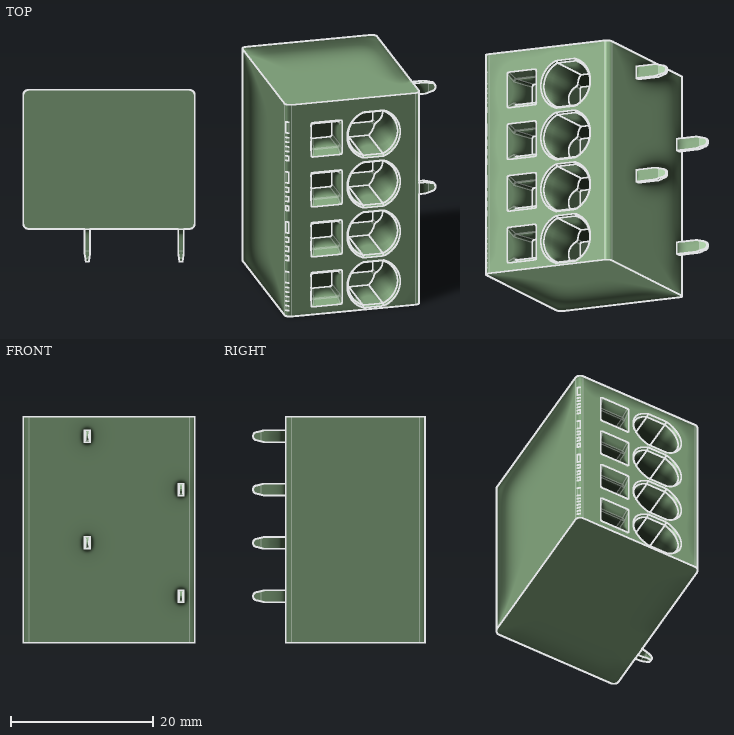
import cadquery as cq
import math


body_length = 24.15
body_depth = 19.6
body_height = 31.8
corner_radius = 0.8

pole_count = 4
pole_pitch = 7.5
first_pole_z = pole_pitch / 2
pole_heights = [first_pole_z + pole_pitch * i for i in range(pole_count)]

funnel_y = 6.83
mouth_half_width = 3.87
mouth_height = 6.88
bore_half_width = 3.6
bore_height = 6.4
flat_length = 2.9
lead_in_depth = 0.42
bore_depth = 8.0
pyramid_depth = 2.1
pyramid_mouth_width = 7.7
floor_width = 5.25
floor_height = 4.0
floor_corner_radius = 0.3

slot_y_min = 11.43
slot_mouth_width = 4.5
slot_mouth_height = 5.16
slot_inner_height = 3.74
slot_mouth_corner_radius = 0.25
slot_inner_corner_radius = 0.35
slot_mouth_depth = 1.4
slot_depth = 5.4
slot_floor_width = 3.2
slot_step_radius = 0.6
selection_margin = 0.01

pin_positions_x = (22.2, 9.03)
pin_offset_z = 2.8
pin_thickness = 0.8
pin_width = 1.7
pin_length = 4.6
pin_root_depth = 1.0
pin_shoulder = 3.05
pin_nose = 4.0
pin_nose_width = 1.2
pin_side_taper = 3.5
pin_tip_thickness = 0.45

flat_start_angle = math.radians(27)
flat_end_angle = math.radians(61)
flat_height = 0.7
flat_pitch = 1.38
short_flat_count = 3
first_flat_offset = -2.85
long_flat_offset = 1.3
long_flat_height = 1.65


def make_body():
    block = cq.Workplane("XY").box(body_length, body_depth, body_height, centered=False)
    return block.edges("|Z").fillet(corner_radius)


def entry_plane(depth, y, z):
    """Plane parallel to the -X face; local x is +Y, local y is +Z, normal is +X."""
    return cq.Workplane(cq.Plane(origin=(depth, y, z), xDir=(0, 1, 0), normal=(1, 0, 0)))


def flatted_round(work, half_width, height):
    """Outline with flats above and below, joined by a bulging arc on each side."""
    half_height = height / 2
    half_flat = flat_length / 2
    return (
        work.moveTo(-half_flat, -half_height)
        .lineTo(half_flat, -half_height)
        .threePointArc((half_width, 0), (half_flat, half_height))
        .lineTo(-half_flat, half_height)
        .threePointArc((-half_width, 0), (-half_flat, -half_height))
        .close()
    )


def rounded_rectangle(width, height, radius):
    return cq.Sketch().rect(width, height).vertices().fillet(radius)


def loft_rectangles(start, end, y_start, y_end, z):
    """Loft between two (depth, width, height, radius) rounded rectangles."""
    start_depth, start_width, start_height, start_radius = start
    end_depth, end_width, end_height, end_radius = end
    shift = cq.Location(cq.Vector(y_end - y_start, 0, end_depth - start_depth))
    start_outline = rounded_rectangle(start_width, start_height, start_radius)
    end_outline = rounded_rectangle(end_width, end_height, end_radius).moved(shift)
    return entry_plane(start_depth, y_start, z).placeSketch(start_outline, end_outline).loft()


def make_bore(z, depth):
    return flatted_round(entry_plane(0, funnel_y, z), bore_half_width, bore_height).extrude(depth)


def make_funnel(z):
    mouth = flatted_round(entry_plane(0, funnel_y, z), mouth_half_width, mouth_height)
    lead_in_end = mouth.workplane(offset=lead_in_depth)
    lead_in = flatted_round(lead_in_end, bore_half_width, bore_height).loft(ruled=True)
    pyramid = loft_rectangles(
        (bore_depth, pyramid_mouth_width, bore_height, floor_corner_radius),
        (bore_depth + pyramid_depth, floor_width, floor_height, floor_corner_radius),
        funnel_y, funnel_y, z,
    )
    trimmed_pyramid = pyramid.intersect(make_bore(z, bore_depth + pyramid_depth))
    return lead_in.union(make_bore(z, bore_depth)).union(trimmed_pyramid)


def make_slot(z):
    slope = (slot_mouth_width - slot_floor_width) / slot_depth
    inner_width = slot_mouth_width - slope * slot_mouth_depth
    mouth = loft_rectangles(
        (0, slot_mouth_width, slot_mouth_height, slot_mouth_corner_radius),
        (slot_mouth_depth, inner_width, slot_inner_height, slot_inner_corner_radius),
        slot_y_min + slot_mouth_width / 2, slot_y_min + inner_width / 2, z,
    )
    pocket = loft_rectangles(
        (slot_mouth_depth, inner_width, slot_inner_height, slot_inner_corner_radius),
        (slot_depth, slot_floor_width, slot_inner_height, slot_inner_corner_radius),
        slot_y_min + inner_width / 2, slot_y_min + slot_floor_width / 2, z,
    )
    step_edges = cq.selectors.BoxSelector(
        (slot_mouth_depth - selection_margin, 0, 0),
        (slot_mouth_depth + selection_margin, body_depth, body_height),
    )
    return mouth.union(pocket).edges(step_edges).edges("|Y").fillet(slot_step_radius)


def make_pin(x, z):
    half_width = pin_width / 2
    half_nose = pin_nose_width / 2
    side = (
        cq.Workplane("YZ", origin=(x, 0, z))
        .moveTo(pin_root_depth, -half_width)
        .lineTo(-pin_shoulder, -half_width)
        .lineTo(-pin_nose, -half_nose)
        .threePointArc((-pin_length, 0), (-pin_nose, half_nose))
        .lineTo(-pin_shoulder, half_width)
        .lineTo(pin_root_depth, half_width)
        .close()
        .extrude(pin_thickness / 2, both=True)
    )
    half_thickness = pin_thickness / 2
    half_tip = pin_tip_thickness / 2
    plan = (
        cq.Workplane("XY", origin=(x, 0, z))
        .polyline([
            (-half_thickness, pin_root_depth),
            (-half_thickness, -pin_side_taper),
            (-half_tip, -pin_length),
            (half_tip, -pin_length),
            (half_thickness, -pin_side_taper),
            (half_thickness, pin_root_depth),
        ])
        .close()
        .extrude(half_width, both=True)
    )
    return side.intersect(plan)


def make_edge_flat(z_bottom, height):
    """Wedge that trims the rounded edge along a chord between the two flat angles."""
    def edge_point(angle):
        return (
            corner_radius * (1 - math.sin(angle)),
            body_depth - corner_radius * (1 - math.cos(angle)),
        )

    start = edge_point(flat_start_angle)
    end = edge_point(flat_end_angle)
    return (
        cq.Workplane("XY", origin=(0, 0, z_bottom))
        .polyline([start, end, (end[0], start[1])])
        .close()
        .extrude(height)
    )


result = make_body()
for index, pole_z in enumerate(pole_heights):
    result = result.cut(make_funnel(pole_z)).cut(make_slot(pole_z))
    for step in range(short_flat_count):
        flat_z = pole_z + first_flat_offset + step * flat_pitch
        result = result.cut(make_edge_flat(flat_z, flat_height))
    result = result.cut(make_edge_flat(pole_z + long_flat_offset, long_flat_height))
    pin_x = pin_positions_x[index % len(pin_positions_x)]
    result = result.union(make_pin(pin_x, pole_z + pin_offset_z))